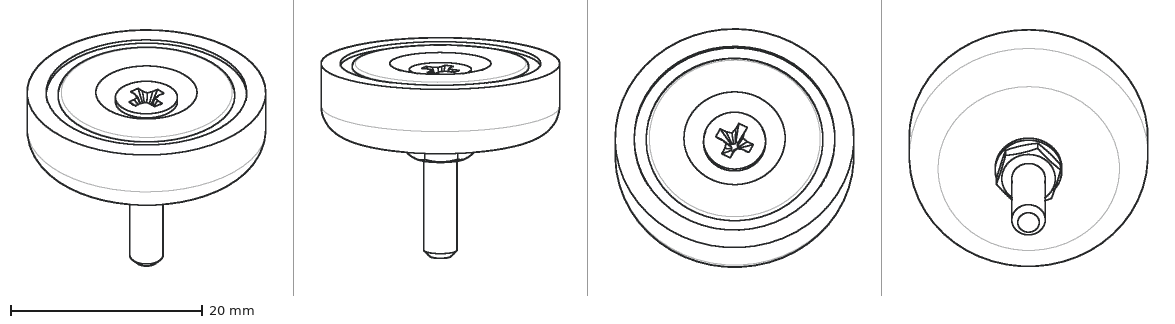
import cadquery as cq
import math

HOUSING_DIAMETER = 25.0
HOUSING_HEIGHT = 7.5
HOUSING_FILLET = 3.0

CUP_DIAMETER = 21.0
CUP_RIM_DROP = 0.4
CUP_FLOOR_THICKNESS = 1.0
CUP_BOTTOM_Z = 1.0

MAGNET_DIAMETER = 18.5
MAGNET_FILLET = 0.3
SINK_DIAMETER = 10.6

SHANK_DIAMETER = 3.5
HEAD_DIAMETER = 6.5
HEAD_TOP_DROP = 0.62
HEAD_EDGE_HEIGHT = 0.5
TIP_DIAMETER = 2.25
TIP_LENGTH = 0.65
SCREW_END_Z = -13.15

DRIVE_DEPTH = 1.6
DRIVE_TOP_ARM = [(1.95, 0.5), (1.25, 0.5), (0.65, 0.65)]
DRIVE_FLOOR_ARM = [(0.55, 0.12), (0.35, 0.12), (0.22, 0.22)]

WASHER_DIAMETER = 7.0
WASHER_THICKNESS = 0.5
NUT_ACROSS_FLATS = 6.0
NUT_HEIGHT = 2.0
NUT_FACE_DIAMETER = 5.6
NUT_CHAMFER_ANGLE = 30.0

CUP_HEIGHT = HOUSING_HEIGHT - CUP_RIM_DROP - CUP_BOTTOM_Z
MAGNET_BOTTOM_Z = CUP_BOTTOM_Z + CUP_FLOOR_THICKNESS
MAGNET_HEIGHT = HOUSING_HEIGHT - MAGNET_BOTTOM_Z
HEAD_TOP_Z = HOUSING_HEIGHT - HEAD_TOP_DROP
HEAD_EDGE_Z = HEAD_TOP_Z - HEAD_EDGE_HEIGHT
NUT_BOTTOM_Z = -WASHER_THICKNESS - NUT_HEIGHT

SINK_SLOPE = (HOUSING_HEIGHT - HEAD_EDGE_Z) / (SINK_DIAMETER / 2 - HEAD_DIAMETER / 2)
SINK_BOTTOM_Z = HEAD_EDGE_Z - SINK_SLOPE * (HEAD_DIAMETER - SHANK_DIAMETER) / 2


def cylinder(diameter, height, bottom_z):
    return cq.Workplane("XY").workplane(offset=bottom_z).circle(diameter / 2).extrude(height)


def revolve_profile(points):
    """Revolve a closed (radius, Z) outline about the Z axis."""
    return cq.Workplane("XZ").polyline(points).close().revolve(360, (0, 0, 0), (0, 1, 0))


def shank_hole():
    return cylinder(SHANK_DIAMETER, HOUSING_HEIGHT - SCREW_END_Z, SCREW_END_Z)


def make_housing():
    body = cylinder(HOUSING_DIAMETER, HOUSING_HEIGHT, 0).faces("<Z").edges().fillet(HOUSING_FILLET)
    pocket = cylinder(CUP_DIAMETER, HOUSING_HEIGHT - CUP_BOTTOM_Z, CUP_BOTTOM_Z)
    return body.cut(pocket).cut(shank_hole())


def make_cup():
    body = cylinder(CUP_DIAMETER, CUP_HEIGHT, CUP_BOTTOM_Z)
    pocket = cylinder(MAGNET_DIAMETER, MAGNET_HEIGHT, MAGNET_BOTTOM_Z)
    return body.cut(pocket).cut(shank_hole())


def make_magnet():
    body = cylinder(MAGNET_DIAMETER, MAGNET_HEIGHT, MAGNET_BOTTOM_Z)
    body = body.faces(">Z").edges().fillet(MAGNET_FILLET)
    countersink = revolve_profile([
        (0, SINK_BOTTOM_Z),
        (SHANK_DIAMETER / 2, SINK_BOTTOM_Z),
        (SINK_DIAMETER / 2, HOUSING_HEIGHT),
        (0, HOUSING_HEIGHT),
    ])
    return body.cut(countersink).cut(shank_hole())


def cross_outline(arm):
    """Repeat one arm four times; each inner corner is shared with the next arm."""
    points = []
    for turn in range(4):
        cosine = round(math.cos(turn * math.pi / 2))
        sine = round(math.sin(turn * math.pi / 2))
        lower_side = [(x, -y) for x, y in reversed(arm[:-1])]
        for x, y in lower_side + arm:
            points.append((x * cosine - y * sine, x * sine + y * cosine))
    return points


def make_drive_recess():
    return (
        cq.Workplane("XY").workplane(offset=HEAD_TOP_Z)
        .polyline(cross_outline(DRIVE_TOP_ARM)).close()
        .workplane(offset=-DRIVE_DEPTH)
        .polyline(cross_outline(DRIVE_FLOOR_ARM)).close()
        .loft(ruled=True)
    )


def make_screw():
    body = revolve_profile([
        (0, SCREW_END_Z),
        (TIP_DIAMETER / 2, SCREW_END_Z),
        (SHANK_DIAMETER / 2, SCREW_END_Z + TIP_LENGTH),
        (SHANK_DIAMETER / 2, SINK_BOTTOM_Z),
        (HEAD_DIAMETER / 2, HEAD_EDGE_Z),
        (HEAD_DIAMETER / 2, HEAD_TOP_Z),
        (0, HEAD_TOP_Z),
    ])
    return body.cut(make_drive_recess())


def make_washer():
    return cylinder(WASHER_DIAMETER, WASHER_THICKNESS, -WASHER_THICKNESS).cut(shank_hole())


def make_nut():
    across_corners = NUT_ACROSS_FLATS / math.cos(math.pi / 6)
    hexagon = (
        cq.Workplane("XY").workplane(offset=NUT_BOTTOM_Z)
        .transformed(rotate=(0, 0, 90))
        .polygon(6, across_corners).extrude(NUT_HEIGHT)
    )
    corner_radius = across_corners / 2
    face_radius = NUT_FACE_DIAMETER / 2
    chamfer_height = (corner_radius - face_radius) * math.tan(math.radians(NUT_CHAMFER_ANGLE))
    nut_top_z = NUT_BOTTOM_Z + NUT_HEIGHT
    envelope = revolve_profile([
        (0, NUT_BOTTOM_Z),
        (face_radius, NUT_BOTTOM_Z),
        (corner_radius, NUT_BOTTOM_Z + chamfer_height),
        (corner_radius, nut_top_z - chamfer_height),
        (face_radius, nut_top_z),
        (0, nut_top_z),
    ])
    return hexagon.intersect(envelope).cut(shank_hole())


housing = make_housing()
cup = make_cup()
magnet = make_magnet()
screw = make_screw()
washer = make_washer()
nut = make_nut()

result = cq.Compound.makeCompound([
    housing.val(),
    cup.val(),
    magnet.val(),
    screw.val(),
    washer.val(),
    nut.val(),
])